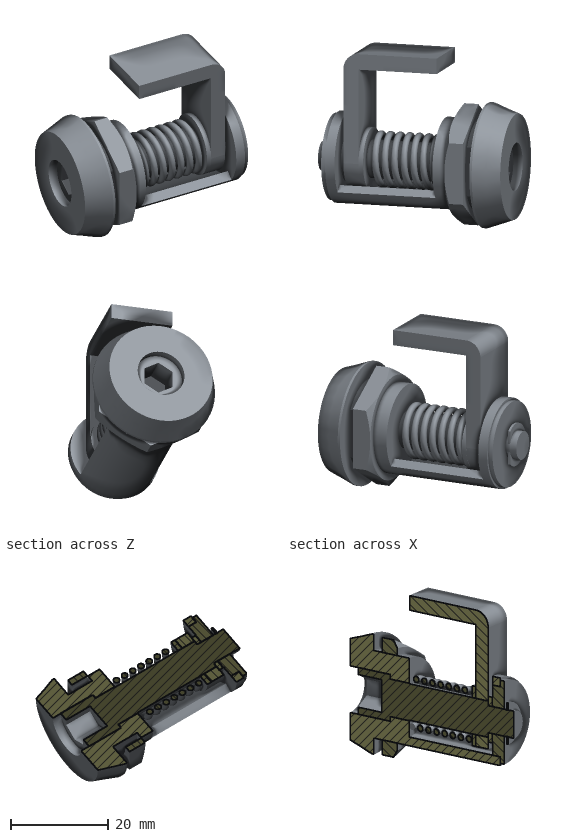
import cadquery as cq
import math


length = 41.5
head_rim_y = 5.5
head_back_y = 6.0
nut_front_y = 8.0
nut_back_y = 12.0
window_front_y = 15.0
window_back_y = 36.0
housing_back_y = 38.0

head_face_radius = 11.0
head_radius = 13.0
barrel_radius = 9.5
flat_half_width = 8.0
bore_radius = 7.5
window_rim_angle = 39.2

shaft_radius = 4.0
tail_radius = 3.0
shaft_head_radius = 5.0
shaft_head_front_y = 2.0
shaft_head_back_y = 10.0
socket_across_flats = 6.0
socket_depth = 5.98

nut_across_flats = 22.0
nut_chamfer_angle = 30.0

arm_thickness = 3.25
arm_width = 13.0
arm_top_z = 23.0
arm_back_y = 35.0
arm_front_y = arm_back_y - arm_thickness

spring_washer_radius = 6.5
spring_washer_thickness = 1.0
sleeve_radius = 5.0
end_cap_radius = 9.0
end_cap_flange_thickness = 1.0
clip_radius = 4.52
clip_front_y = 39.5
clip_thickness = 0.5
clip_back_y = clip_front_y + clip_thickness
clip_opening_x = 2.8
groove_radius = 2.9
groove_front_y = 39.42

wire_radius = 0.7
coil_radius = 5.2
coil_turns = 7

hex_sides = 6
overshoot = 0.4


def cylinder(radius, start_y, end_y):
    """Solid cylinder on the Y axis between two stations."""
    return cq.Workplane("XZ", origin=(0, start_y, 0)).circle(radius).extrude(start_y - end_y)


def ring(outer_radius, inner_radius, start_y, end_y):
    """Hollow cylinder on the Y axis between two stations."""
    return (
        cq.Workplane("XZ", origin=(0, start_y, 0))
        .circle(outer_radius)
        .circle(inner_radius)
        .extrude(start_y - end_y)
    )


def hex_prism(across_flats, start_y, end_y):
    """Hexagonal prism on the Y axis with its corners at the top and bottom."""
    half_corner_angle = 180 / hex_sides
    across_corners = across_flats / math.cos(math.radians(half_corner_angle))
    return (
        cq.Workplane("XZ", origin=(0, start_y, 0))
        .transformed(rotate=(0, 0, half_corner_angle))
        .polygon(hex_sides, across_corners)
        .extrude(start_y - end_y)
    )


def turned(profile):
    """Solid of revolution about the Y axis from (radius, y) points."""
    return cq.Workplane("XY").polyline(profile).close().revolve(360, (0, 0), (0, 1))


def make_housing():
    body = turned([
        (0, 0),
        (head_face_radius, 0),
        (head_radius, head_rim_y),
        (head_radius, head_back_y),
        (barrel_radius, head_back_y),
        (barrel_radius, housing_back_y),
        (0, housing_back_y),
    ])

    threaded_length = nut_back_y - head_back_y
    flat_cutter_width = barrel_radius - flat_half_width + overshoot
    for side in (-1, 1):
        body = body.cut(cq.Workplane("XY").box(
            flat_cutter_width, threaded_length, 2 * barrel_radius,
        ).translate((
            side * (flat_half_width + flat_cutter_width / 2),
            head_back_y + threaded_length / 2,
            0,
        )))

    body = body.cut(cylinder(shaft_head_radius, 0, shaft_head_back_y))
    body = body.cut(cylinder(shaft_radius, shaft_head_back_y, window_front_y))
    body = body.cut(cylinder(bore_radius, window_front_y, housing_back_y))

    rim_x = 2 * barrel_radius
    rim_z = -rim_x * math.tan(math.radians(window_rim_angle))
    window = (
        cq.Workplane("XZ", origin=(0, window_front_y, 0))
        .polyline([(0, 0), (rim_x, rim_z), (rim_x, rim_x), (-rim_x, rim_x), (-rim_x, rim_z)])
        .close()
        .extrude(window_front_y - window_back_y)
    )
    return body.cut(window)


def make_nut():
    flat_radius = nut_across_flats / 2
    cone_radius = flat_radius + (nut_back_y - nut_front_y) / math.tan(math.radians(nut_chamfer_angle))
    cone = turned([
        (0, nut_front_y),
        (cone_radius, nut_front_y),
        (flat_radius, nut_back_y),
        (0, nut_back_y),
    ])
    prism = hex_prism(nut_across_flats, nut_front_y, nut_back_y)
    return prism.intersect(cone).cut(cylinder(barrel_radius, nut_front_y, nut_back_y))


def make_shaft():
    body = turned([
        (0, shaft_head_front_y),
        (shaft_head_radius, shaft_head_front_y),
        (shaft_head_radius, shaft_head_back_y),
        (shaft_radius, shaft_head_back_y),
        (shaft_radius, arm_back_y),
        (tail_radius, arm_back_y),
        (tail_radius, groove_front_y),
        (groove_radius, groove_front_y),
        (groove_radius, clip_back_y),
        (tail_radius, clip_back_y),
        (tail_radius, length),
        (0, length),
    ])
    socket_end_y = shaft_head_front_y + socket_depth
    return body.cut(hex_prism(socket_across_flats, shaft_head_front_y, socket_end_y))


def make_cam_arm():
    half_width = arm_width / 2
    upright = (
        cq.Workplane("XZ", origin=(0, arm_front_y, 0))
        .moveTo(-half_width, arm_top_z)
        .lineTo(-half_width, 0)
        .threePointArc((0, -half_width), (half_width, 0))
        .lineTo(half_width, arm_top_z)
        .close()
        .extrude(-arm_thickness)
    )
    reach = arm_back_y - window_front_y
    tongue = cq.Workplane("XY").box(arm_width, reach, arm_thickness).translate(
        (0, window_front_y + reach / 2, arm_top_z - arm_thickness / 2)
    )
    arm = upright.union(tongue)
    arm = arm.edges("|X").edges(">Y and >Z").fillet(arm_thickness)
    return arm.cut(cylinder(shaft_radius, arm_front_y, arm_back_y))


def make_spring():
    start_y = arm_front_y - spring_washer_thickness - wire_radius
    coil_length = start_y - wire_radius - window_front_y
    path = cq.Wire.makeHelix(coil_length / coil_turns, coil_length, coil_radius)
    wire = (
        cq.Workplane("XZ", origin=(coil_radius, 0, 0))
        .circle(wire_radius)
        .sweep(cq.Workplane(path), isFrenet=True)
    )
    wire = wire.rotate((0, 0, 0), (0, 0, 1), -90)
    return wire.rotate((0, 0, 0), (1, 0, 0), 90).translate((0, start_y, 0))


def make_end_cap():
    plug = cylinder(bore_radius, window_back_y, housing_back_y)
    flange_back_y = housing_back_y + end_cap_flange_thickness
    flange = cylinder(end_cap_radius, housing_back_y, flange_back_y)
    return plug.union(flange).cut(cylinder(tail_radius, window_back_y, flange_back_y))


def make_clip():
    opening = cq.Workplane("XY").box(
        clip_radius, clip_thickness, 2 * clip_radius,
    ).translate((clip_opening_x + clip_radius / 2, clip_front_y + clip_thickness / 2, 0))
    return ring(clip_radius, groove_radius, clip_front_y, clip_back_y).cut(opening)


housing = make_housing()
nut = make_nut()
shaft = make_shaft()
cam_arm = make_cam_arm()
spring_washer = ring(
    spring_washer_radius, shaft_radius, arm_front_y - spring_washer_thickness, arm_front_y
)
spring = make_spring()
sleeve = ring(sleeve_radius, tail_radius, arm_back_y, window_back_y)
end_cap = make_end_cap()
clip = make_clip()

result = cq.Compound.makeCompound([
    housing.val(),
    nut.val(),
    shaft.val(),
    cam_arm.val(),
    spring_washer.val(),
    spring.val(),
    sleeve.val(),
    end_cap.val(),
    clip.val(),
])